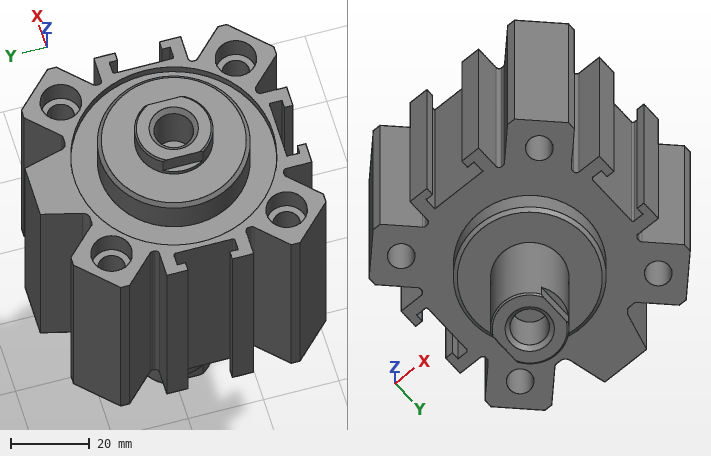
import cadquery as cq
import math

rod_length = 113.0
body_bottom = 39.0
body_height = 60.0
boss_height = 8.0
body_top = body_bottom + body_height

body_width = 67.0
arm_width = 17.1
arm_span = 81.0
rail_end = 33.3
rail_half_span = 11.5
slot_floor = 27.7
slot_width = 16.2
slot_opening = 11.8
lip_thickness = 2.3
valley_floor = 25.5
valley_radius = 1.0
slot_corner_radius = 0.6

body_depth = 71.0
lug_tip_width = 14.1
lug_side_angle = 14.5
lug_foot_radius = 2.0

boss_diameter = 39.0
boss_chamfer = 1.0
recess_diameter = 52.5
recess_depth = 2.4
mount_spacing = 46.4
mount_diameter = 7.0
mount_bore_diameter = 10.5
mount_bore_depth = 7.0

rod_diameter = 20.0
rod_end_chamfer = 0.5
flat_width = 17.0
flat_length = 4.7
rod_hole_diameter = 10.1
rod_hole_depth = 15.0
rod_hole_chamfer = 1.2

body_half_width = body_width / 2
slot_half_width = slot_width / 2
slot_half_opening = slot_opening / 2
arm_side_gap = arm_width / math.sqrt(2)
arm_end_sum = arm_span / math.sqrt(2)
arm_shoulder = body_half_width - arm_side_gap
arm_corner = arm_end_sum - body_half_width
lug_end = body_depth - body_half_width
lug_tip_half_width = lug_tip_width / 2
lug_flare = (lug_end - valley_floor) * math.tan(math.radians(lug_side_angle))
lug_foot_half_width = lug_tip_half_width + lug_flare
arm_foot = valley_floor - arm_side_gap


def mirror_x(points):
    return [(-x, y) for x, y in points]


def mirror_y(points):
    return [(x, -y) for x, y in points]


def swap_axes(points):
    return [(y, x) for x, y in points]


def profile_points():
    """Housing outline: T-slots on -X, +X and -Y, the lug on +Y, an arm on each diagonal."""
    half_slot = [
        (slot_half_width, slot_floor),
        (slot_half_width, rail_end - lip_thickness),
        (slot_half_opening, rail_end - lip_thickness),
        (slot_half_opening, rail_end),
        (rail_half_span, rail_end),
        (rail_half_span, valley_floor),
        (arm_foot, valley_floor),
    ]
    half_arm = [(arm_shoulder, body_half_width), (arm_corner, body_half_width)]
    arm = half_arm + swap_axes(half_arm)[::-1]
    half_lug = [(lug_tip_half_width, lug_end), (lug_foot_half_width, valley_floor), (arm_foot, valley_floor)]

    upper = half_lug + arm + swap_axes(half_slot)[::-1]
    lower = mirror_y(half_slot + arm + swap_axes(half_slot)[::-1])[::-1]
    right_half = upper + lower
    return right_half + mirror_x(right_half)[::-1]


def round_edges(solid, points, radius):
    """Fillet the vertical edges that stand on the given profile corners."""
    for x, y in points:
        corner = cq.selectors.NearestToPointSelector((x, y, body_bottom + body_height / 2))
        solid = solid.edges("|Z").edges(corner).fillet(radius)
    return solid


def make_extrusion():
    extrusion = cq.Workplane("XY", origin=(0, 0, body_bottom)).polyline(profile_points()).close()
    extrusion = extrusion.extrude(body_height)

    valley = [(rail_half_span, valley_floor), (arm_foot, valley_floor)]
    side_valleys = swap_axes(valley) + mirror_y(swap_axes(valley))
    right_valleys = side_valleys + mirror_y(valley) + [(arm_foot, valley_floor)]
    extrusion = round_edges(extrusion, right_valleys + mirror_x(right_valleys), valley_radius)

    lug_feet = [(lug_foot_half_width, valley_floor), (-lug_foot_half_width, valley_floor)]
    extrusion = round_edges(extrusion, lug_feet, lug_foot_radius)

    right_slot = [(slot_floor, slot_half_width), (slot_floor, -slot_half_width)]
    return round_edges(extrusion, right_slot + mirror_x(right_slot), slot_corner_radius)


def mount_cylinders(diameter, depth):
    """Four cylinders at the mounting places, reaching down from the top of the body."""
    places = cq.Workplane("XY", origin=(0, 0, body_top))
    places = places.rect(mount_spacing, mount_spacing, forConstruction=True).vertices()
    return places.circle(diameter / 2).extrude(-depth)


def make_housing():
    housing = make_extrusion()

    recess = cq.Workplane("XY", origin=(0, 0, body_top - recess_depth))
    housing = housing.cut(recess.circle(recess_diameter / 2).extrude(recess_depth))

    boss = cq.Workplane("XY", origin=(0, 0, body_bottom - boss_height)).circle(boss_diameter / 2)
    boss = boss.extrude(body_height + 2 * boss_height)
    housing = housing.union(boss.faces("<Z or >Z").chamfer(boss_chamfer))

    housing = housing.cut(mount_cylinders(mount_diameter, body_height))
    housing = housing.cut(mount_cylinders(mount_bore_diameter, mount_bore_depth))

    rod_bore = cq.Workplane("XY").circle(rod_diameter / 2).extrude(rod_length)
    return housing.cut(rod_bore).solids()


def make_rod():
    """Through rod whose two ends are alike: wrench flats facing X and a blind axial hole."""
    rod = cq.Workplane("XY").circle(rod_diameter / 2).extrude(rod_length)
    rod = rod.faces("<Z or >Z").chamfer(rod_end_chamfer)

    end_slice = cq.Workplane("XY").rect(2 * rod_diameter, 2 * rod_diameter).extrude(flat_length)
    between_flats = cq.Workplane("XY").rect(flat_width, 2 * rod_diameter).extrude(flat_length)
    flat_cut = end_slice.cut(between_flats)

    end_hole = cq.Workplane("XY").circle(rod_hole_diameter / 2).extrude(rod_hole_depth)
    mouth_radius = rod_hole_diameter / 2 + rod_hole_chamfer
    mouth = cq.Solid.makeCone(mouth_radius, rod_hole_diameter / 2, rod_hole_chamfer)
    end_cut = flat_cut.union(end_hole).union(cq.Workplane(mouth))

    top_cut = end_cut.mirror("XY").translate((0, 0, rod_length))
    return rod.cut(end_cut).cut(top_cut).solids()


housing = make_housing()
rod = make_rod()

result = cq.Compound.makeCompound([housing.val(), rod.val()])